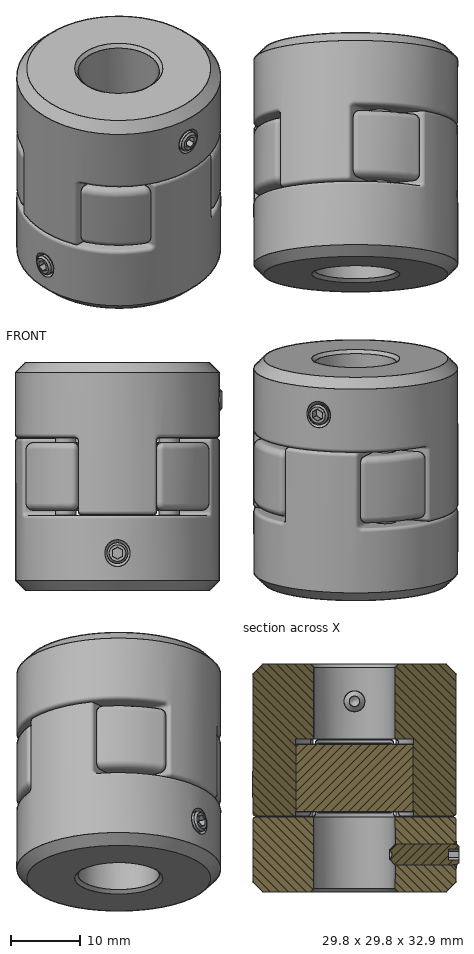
import cadquery as cq
import math


overall_length = 32.88
hub_radius = 14.7
end_chamfer = 1.45
bore_radius = 5.85
bore_chamfer = 0.5
end_z = overall_length / 2
floor_z = 5.6
jaw_clearance = 0.1
tip_z = floor_z - jaw_clearance
jaw_half_width = 5.65
jaw_inner_radius = 8.5
edge_round = 0.5

leg_half_height = 4.88
leg_rim_round = 1.0
leg_side_round = 0.7
nub_radius = 1.5
nub_half_height = floor_z - jaw_clearance / 2
nub_offset = 7.45
ridge_radius = 5.3
ridge_round = 0.13

screw_z = 11.04
screw_radius = 1.5
screw_length = 10.0
screw_head = 15.07
screw_tip = screw_head - screw_length
head_chamfer = 0.3
tip_chamfer = 0.75
cup_depth = 0.4
socket_width = 1.5
socket_depth = 1.5
countersink_radius = 1.93


def upright_cylinder(radius, z_low, z_high):
    """Cylinder on the shaft axis."""
    return cq.Workplane("XY").workplane(offset=z_low).circle(radius).extrude(z_high - z_low)


def borders_jaw_gap(edge):
    """True for an edge on the hub's outer surface that outlines the jaws and the floor."""
    middle = edge.positionAt(0.5)
    on_outside = math.isclose(math.hypot(middle.x, middle.y), hub_radius, abs_tol=0.01)
    below_body = edge.BoundingBox().zmax < floor_z + edge_round
    return on_outside and below_body


def make_hub():
    """Hub standing above the spider, with its jaws on the X axis and its screw hole towards +Y."""
    barrel = upright_cylinder(hub_radius, -tip_z, end_z).faces(">Z").edges().chamfer(end_chamfer)
    head = cq.Workplane("XY").box(2 * end_z, 2 * end_z, end_z - floor_z, centered=(True, True, False))
    stem = cq.Workplane("XY").box(2 * end_z, 2 * jaw_half_width, tip_z + end_z, centered=(True, True, False))
    side_shape = head.translate((0, 0, floor_z)).union(stem.translate((0, 0, -tip_z)))
    jaw_corners = side_shape.edges("|X").edges(cq.selectors.BoxSelector(
        (-end_z, -hub_radius, -end_z), (end_z, hub_radius, floor_z + edge_round)
    ))
    hub = barrel.intersect(jaw_corners.fillet(edge_round))

    rim = hub.edges().filter(borders_jaw_gap)
    hub = rim.fillet(edge_round)

    hub = hub.cut(upright_cylinder(jaw_inner_radius, -tip_z, floor_z))
    hub = hub.cut(upright_cylinder(bore_radius, floor_z, end_z))
    hub = hub.faces(">Z").edges(cq.selectors.RadiusNthSelector(0)).chamfer(bore_chamfer)
    return hub.cut(make_screw_hole())


def turned_along_y(points):
    """Solid turned around the Y axis from (radius, distance along Y) points, at screw height."""
    turned = cq.Workplane("XY").polyline(points).close().revolve(360, (0, 0, 0), (0, 1, 0))
    return turned.translate((0, 0, screw_z))


def make_screw_hole():
    """Radial hole, countersunk at 45 degrees on the hub's outer surface."""
    sink_start = hub_radius - (countersink_radius - screw_radius)
    sink_end = screw_head
    return turned_along_y([
        (0, 0),
        (screw_radius, 0),
        (screw_radius, sink_start),
        (screw_radius + sink_end - sink_start, sink_end),
        (0, sink_end),
    ])


def make_screw():
    """Set screw pointing at the shaft axis, with a cup point and a hexagon socket."""
    cup_rim_radius = screw_radius - tip_chamfer
    screw = turned_along_y([
        (0, screw_tip + cup_depth),
        (cup_rim_radius, screw_tip),
        (screw_radius, screw_tip + tip_chamfer),
        (screw_radius, screw_head - head_chamfer),
        (screw_radius - head_chamfer, screw_head),
        (0, screw_head),
    ])
    across_corners = socket_width / math.cos(math.pi / 6)
    socket = (
        cq.Workplane("XZ", origin=(0, screw_head, screw_z))
        .transformed(rotate=(0, 0, 30))
        .polygon(6, across_corners)
        .extrude(socket_depth)
    )
    return screw.cut(socket)


def make_leg():
    """Spider leg between the +X and +Y jaws, rounded on its outer edges, with its spacer nubs."""
    disc = upright_cylinder(hub_radius, -leg_half_height, leg_half_height)
    disc = disc.edges().fillet(leg_rim_round)
    quadrant = cq.Workplane("XY").box(hub_radius, hub_radius, 2 * floor_z, centered=(False, False, True))
    leg = disc.intersect(quadrant.translate((jaw_half_width, jaw_half_width, 0)))

    side_edges = leg.edges("|Z").filter(lambda edge: edge.Center().x + edge.Center().y > 2 * nub_offset)
    leg = side_edges.fillet(leg_side_round)

    nub = upright_cylinder(nub_radius, -nub_half_height, nub_half_height).translate((nub_offset, nub_offset, 0))
    return leg.union(nub)


def make_ridge(z):
    """Ring of round section, half sunk into the spider face at height z."""
    return cq.Workplane(cq.Solid.makeTorus(ridge_radius, ridge_round, cq.Vector(0, 0, z)))


def make_spider():
    spider = upright_cylinder(jaw_inner_radius, -leg_half_height, leg_half_height)
    leg = make_leg()
    for quarter in range(4):
        spider = spider.union(leg.rotate((0, 0, 0), (0, 0, 1), 90 * quarter))
    for face_z in (-leg_half_height, leg_half_height):
        spider = spider.union(make_ridge(face_z))
    return spider


def place_upper(part):
    """Turn a hub or screw so that its screw axis points to +X."""
    return part.rotate((0, 0, 0), (0, 0, 1), -90)


def place_lower(part):
    """Turn a hub or screw upside down, so that its screw axis points to -Y."""
    return part.rotate((0, 0, 0), (1, 0, 0), 180)


hub = make_hub()
screw = make_screw()
spider = make_spider()

bodies = [spider.val()]
for place in (place_upper, place_lower):
    bodies.append(place(hub).val())
    bodies.append(place(screw).val())

result = cq.Compound.makeCompound(bodies)